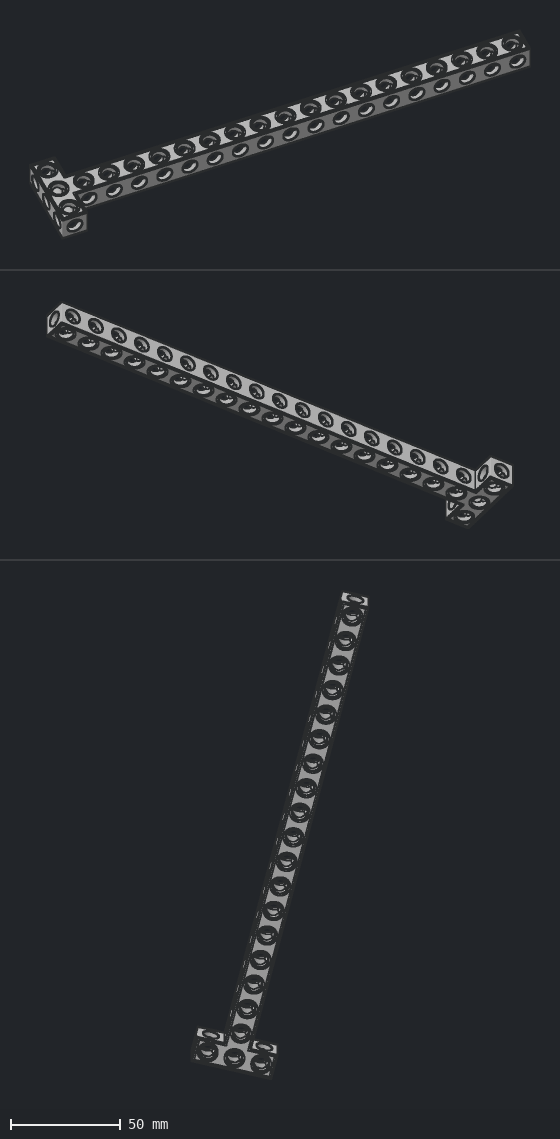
import cadquery as cq


stem_length = 237.5
stem_cells = 19
bar_cells = 3
bore_diameter = 7.0
corner_radius = 0.2

inner_step_width = 1.2
inner_step_depth = 0.12
outer_step_width = 0.35
outer_step_depth = 0.2

side_step_depth = 0.2

pitch = stem_length / stem_cells
bar_length = bar_cells * pitch
half_section = pitch / 2
bar_y = half_section - stem_length / 2
wide_mouth_diameter = bore_diameter + 2 * inner_step_width
narrow_mouth_diameter = bore_diameter + 2 * outer_step_width

stem_ys = [bar_y + i * pitch for i in range(stem_cells)]
bar_xs = [(i - (bar_cells - 1) / 2) * pitch for i in range(bar_cells)]


def t_prism(inset, height, radius=0):
    """T-shaped prism centred on Z = 0, its outline moved inward by inset, outer corners rounded."""
    stem = cq.Workplane("XY").box(pitch - 2 * inset, stem_length - 2 * inset, height)
    bar = cq.Workplane("XY").box(bar_length - 2 * inset, pitch - 2 * inset, height)
    if radius > 0:
        stem = stem.faces(">Y").edges("|Z").fillet(radius)
        bar = bar.edges("|Z").fillet(radius)
    return stem.union(bar.translate((0, bar_y, 0)))


def stepped_hole(center, direction, length, mouths):
    """Cutter for a through hole of the given length, with (diameter, depth) mouths at both ends."""
    center = cq.Vector(*center)
    direction = cq.Vector(*direction)
    start = center - direction * (length / 2)
    end = center + direction * (length / 2)
    cutters = [cq.Solid.makeCylinder(bore_diameter / 2, length, start, direction)]
    for diameter, depth in mouths:
        cutters.append(cq.Solid.makeCylinder(diameter / 2, depth, start, direction))
        cutters.append(cq.Solid.makeCylinder(diameter / 2, depth, end, direction * -1))
    return cutters


body = t_prism(0, pitch - 2 * outer_step_depth, corner_radius)
body = body.union(t_prism(outer_step_width, pitch - 2 * inner_step_depth))
body = body.union(t_prism(inner_step_width, pitch))

face_mouths = [(wide_mouth_diameter, inner_step_depth), (narrow_mouth_diameter, outer_step_depth)]
side_mouths = [(narrow_mouth_diameter, side_step_depth)]
cutters = []

vertical_positions = [(0, y) for y in stem_ys]
vertical_positions += [(x, bar_y) for x in bar_xs if abs(x) > half_section]
for x, y in vertical_positions:
    cutters += stepped_hole((x, y, 0), (0, 0, 1), pitch, face_mouths)

for y in stem_ys:
    length = bar_length if y == bar_y else pitch
    cutters += stepped_hole((0, y, 0), (1, 0, 0), length, side_mouths)

for x in bar_xs:
    in_stem = abs(x) < half_section
    length = stem_length if in_stem else pitch
    center_y = 0 if in_stem else bar_y
    cutters += stepped_hole((x, center_y, 0), (0, 1, 0), length, side_mouths)

result = cq.Workplane("XY").newObject([body.val().cut(*cutters)]).solids()